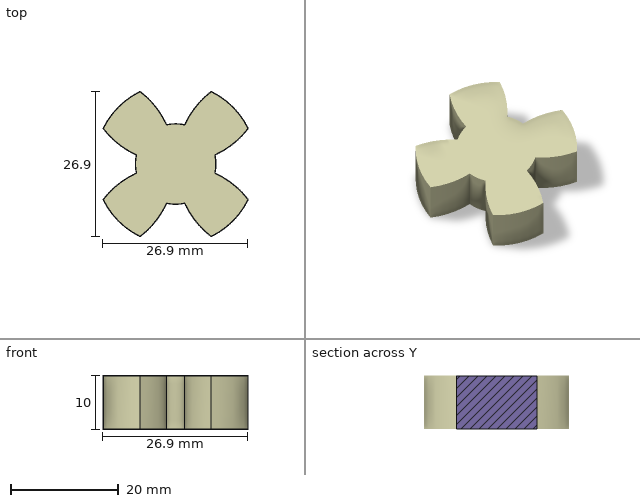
import cadquery as cq
import math

span = 26.93
height = 10.0
hub_radius = 7.5
tip_corner = 6.6
root_corner = 1.67
flank_bulge = 0.48
arm_count = 4

tip_radius = math.hypot(span / 2, tip_corner)
tip_half_width = (span / 2 - tip_corner) / math.sqrt(2)
tip_reach = (span / 2 + tip_corner) / math.sqrt(2)
hub_edge = math.sqrt(hub_radius**2 - root_corner**2)
root_half_width = (hub_edge - root_corner) / math.sqrt(2)
root_reach = (hub_edge + root_corner) / math.sqrt(2)


def make_arm(angle):
    """Arm with convex flanks and a tip arc centred on the hub axis."""
    return (
        cq.Workplane("XY")
        .moveTo(root_reach, -root_half_width)
        .sagittaArc((tip_reach, -tip_half_width), -flank_bulge)
        .threePointArc((tip_radius, 0), (tip_reach, tip_half_width))
        .sagittaArc((root_reach, root_half_width), -flank_bulge)
        .lineTo(0, 0)
        .close()
        .extrude(height)
        .rotate((0, 0, 0), (0, 0, 1), angle)
    )


result = cq.Workplane("XY").circle(hub_radius).extrude(height)
for index in range(arm_count):
    arm_angle = 45 + index * 360 / arm_count
    result = result.union(make_arm(arm_angle))